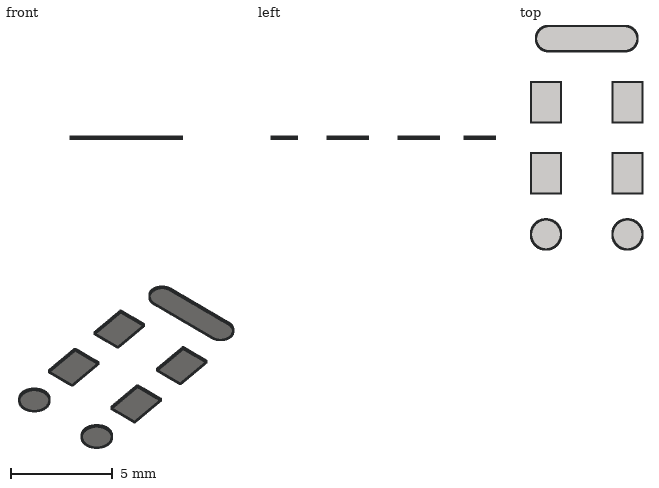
import cadquery as cq

overall_width = 5.5
overall_length = 11.0
thickness = 0.1

disc_diameter = 1.5
pad_width = disc_diameter
pad_length = 2.0
bar_length = 5.0
bar_width = 1.25

disc_to_pad_gap = 1.25
pad_to_pad_gap = 1.5

column_x = (overall_width - pad_width) / 2
columns = (-column_x, column_x)
disc_y = -overall_length / 2 + disc_diameter / 2
front_pad_y = disc_y + disc_diameter / 2 + disc_to_pad_gap + pad_length / 2
rear_pad_y = front_pad_y + pad_length + pad_to_pad_gap
bar_y = overall_length / 2 - bar_width / 2


def make_disc(x, y):
    """Thin round disc centred at (x, y), resting on Z = 0."""
    return cq.Workplane("XY").center(x, y).circle(disc_diameter / 2).extrude(thickness)


def make_pad(x, y):
    """Thin rectangular pad centred at (x, y), resting on Z = 0."""
    return cq.Workplane("XY").center(x, y).rect(pad_width, pad_length).extrude(thickness)


def make_bar(y):
    """Thin bar along X with fully rounded ends, resting on Z = 0."""
    return cq.Workplane("XY").center(0, y).slot2D(bar_length, bar_width).extrude(thickness)


discs = [make_disc(x, disc_y).val() for x in columns]
pads = [make_pad(x, y).val() for y in (front_pad_y, rear_pad_y) for x in columns]
bar = make_bar(bar_y)

result = cq.Compound.makeCompound([*discs, *pads, bar.val()])